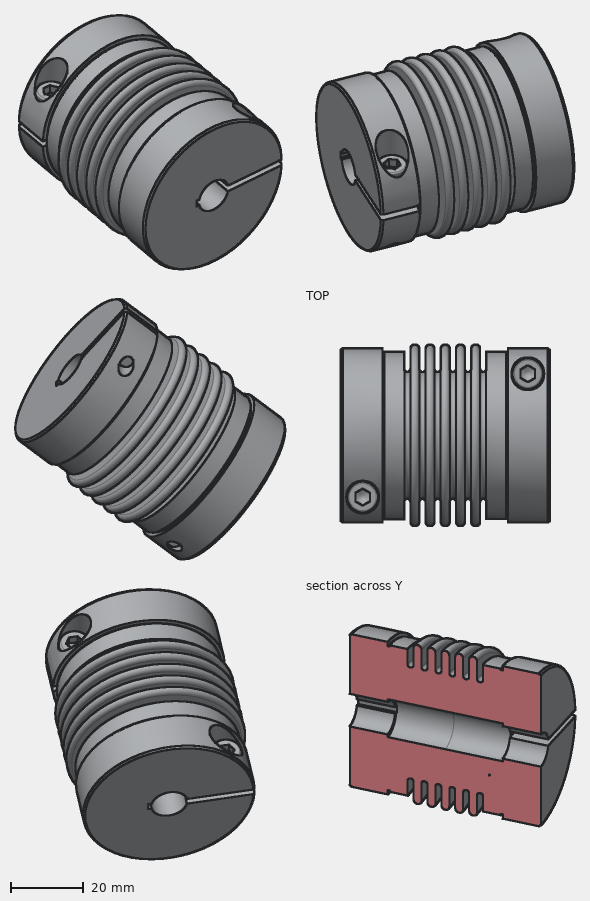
import cadquery as cq
import math


length = 57.5
hub_radius = 48.0 / 2
clamp_length = 11.5
face_chamfer_length = 0.65
face_chamfer_height = 0.45
neck_radius = 45.3 / 2
neck_length = 0.5
collar_radius = 46.1 / 2

bellows_radius = 50.0 / 2
valley_radius = 34.9 / 2
rib_count = 5
rib_width = 2.55
bellows_length = 22.55

bore_diameter = 10.05
relief_diameter = 11.75
slot_width = 2.0
slot_length = 11.7

screw_offset = 16.95
screw_from_face = 6.05
head_diameter = 8.5
head_height = 5.0
head_top = 12.0
head_fillet = 0.5
shank_diameter = 5.0
shank_length = 20.0
socket_flats = 4.0
socket_depth = 2.55
socket_cone_depth = 1.15
counterbore_diameter = 9.0
clearance_diameter = 5.4
tapped_diameter = 4.2

half_length = length / 2
clamp_end = half_length - clamp_length
neck_end = clamp_end - neck_length
gap_width = (bellows_length - rib_count * rib_width) / (rib_count + 1)
pitch = rib_width + gap_width
screw_x = screw_from_face - half_length
screw_y = -screw_offset
head_bottom = head_top - head_height
shank_tip = head_bottom - shank_length
socket_bottom = head_top - socket_depth
socket_corners = socket_flats / math.cos(math.pi / 6)


def rod(diameter, bottom, top):
    """Cylinder on the screw axis between two heights."""
    return (
        cq.Workplane("XY", origin=(screw_x, screw_y, bottom))
        .circle(diameter / 2)
        .extrude(top - bottom)
    )


def make_bellows():
    """Revolve the ribbed profile from one collar to the other."""
    start = -bellows_length / 2
    rib_round = rib_width / 2
    gap_round = gap_width / 2
    rib_shoulder = bellows_radius - rib_round
    valley_shoulder = valley_radius + gap_round

    profile = cq.Workplane("XY").moveTo(start, 0).lineTo(start, valley_shoulder)
    for rib in range(rib_count):
        gap_start = start + rib * pitch
        rib_start = gap_start + gap_width
        rib_end = rib_start + rib_width
        profile = (
            profile.threePointArc((gap_start + gap_round, valley_radius), (rib_start, valley_shoulder))
            .lineTo(rib_start, rib_shoulder)
            .threePointArc((rib_start + rib_round, bellows_radius), (rib_end, rib_shoulder))
            .lineTo(rib_end, valley_shoulder)
        )
    profile = profile.threePointArc((-start - gap_round, valley_radius), (-start, valley_shoulder))
    return profile.lineTo(-start, 0).close().revolve(360, (0, 0, 0), (1, 0, 0))


def make_hub_blank():
    """Turned body of the hub at -X: clamp, neck and collar."""
    return (
        cq.Workplane("XY")
        .moveTo(-half_length, 0)
        .lineTo(-half_length, face_chamfer_height - hub_radius)
        .lineTo(face_chamfer_length - half_length, -hub_radius)
        .lineTo(-clamp_end, -hub_radius)
        .lineTo(-clamp_end, -neck_radius)
        .lineTo(-neck_end, -neck_radius)
        .lineTo(-neck_end, -collar_radius)
        .lineTo(-bellows_length / 2, -collar_radius)
        .lineTo(-bellows_length / 2, 0)
        .close()
        .revolve(360, (0, 0, 0), (1, 0, 0))
    )


def make_slot():
    """Clamping slot, open at -Y and ending just past the bore at +Y."""
    slot_end = relief_diameter / 2
    return cq.Workplane("XY").box(
        slot_length, slot_end + hub_radius, slot_width, centered=(False, False, True)
    ).translate((-half_length, -hub_radius, 0))


def make_screw():
    """Socket head cap screw with a conical socket bottom."""
    head = rod(head_diameter, head_bottom, head_top).faces(">Z").edges().fillet(head_fillet)
    socket = (
        cq.Workplane("XY", origin=(screw_x, screw_y, socket_bottom - socket_cone_depth))
        .transformed(rotate=(0, 0, 30))
        .polygon(6, socket_corners)
        .extrude(socket_depth + socket_cone_depth)
    )
    cone = cq.Workplane(
        cq.Solid.makeCone(
            0, socket_corners / 2, socket_cone_depth,
            cq.Vector(screw_x, screw_y, socket_bottom - socket_cone_depth),
        )
    )
    socket_envelope = cone.union(rod(socket_corners, socket_bottom, head_top))
    shank = rod(shank_diameter, shank_tip, head_bottom)
    return head.cut(socket.intersect(socket_envelope)).union(shank)


def make_hub():
    """Complete hub at -X with its slot, screw holes and screw."""
    return (
        make_hub_blank()
        .cut(make_slot())
        .cut(rod(counterbore_diameter, head_bottom, hub_radius))
        .cut(rod(clearance_diameter, 0, head_bottom))
        .cut(rod(tapped_diameter, -hub_radius, 0))
        .union(make_screw())
    )


def make_bore(diameter, bore_length):
    """Round hole along the coupling axis, centred on the origin."""
    return cq.Workplane("YZ").circle(diameter / 2).extrude(bore_length / 2, both=True)


hub = make_hub()
opposite_hub = hub.rotate((0, 0, 0), (0, 0, 1), 180)
result = (
    make_bellows()
    .union(hub)
    .union(opposite_hub)
    .cut(make_bore(bore_diameter, length))
    .cut(make_bore(relief_diameter, 2 * clamp_end))
)